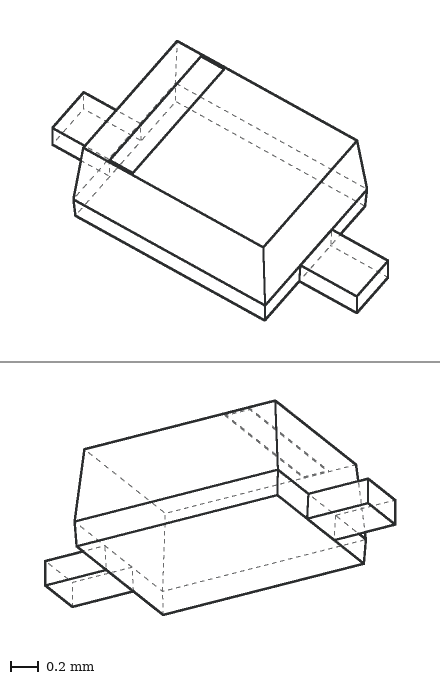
import cadquery as cq
import math

total_length = 2.7
total_height = 0.8
parting_height = 0.2
housing_length = 1.7
housing_width = 1.3
upper_draft_angle = 5.0
base_inset = 0.01
lead_width = 0.4
band_length = 0.205
band_width = 1.16
band_center_x = -0.472
band_depth = 0.01

upper_height = total_height - parting_height
top_inset = upper_height * math.tan(math.radians(upper_draft_angle))


def tapered_block(z_start, z_end, end_inset):
    """Block with the full housing outline at z_start, narrowed on every side at z_end."""
    return (
        cq.Workplane("XY", origin=(0, 0, z_start))
        .rect(housing_length, housing_width)
        .workplane(offset=z_end - z_start)
        .rect(housing_length - 2 * end_inset, housing_width - 2 * end_inset)
        .loft(ruled=True)
    )


def make_polarity_band():
    """Thin bar lying flush with the top of the housing."""
    return cq.Workplane("XY").box(
        band_length, band_width, band_depth, centered=(True, True, False)
    ).translate((band_center_x, 0, total_height - band_depth))


def make_upper_housing(band):
    """Drafted upper housing with a shallow recess for the polarity band."""
    return tapered_block(parting_height, total_height, top_inset).cut(band)


def make_lower_housing():
    """Shallow lower housing, narrowing towards the base."""
    return tapered_block(parting_height, 0, base_inset)


def make_lead(side):
    """Flat lead on the side -1 or +1 of X, its inner end resting on the sloped lower wall."""
    tip_x = side * total_length / 2
    wall_x = side * housing_length / 2
    base_x = wall_x - side * base_inset
    profile = [(tip_x, 0), (tip_x, parting_height), (wall_x, parting_height), (base_x, 0)]
    return (
        cq.Workplane("XZ")
        .polyline(profile)
        .close()
        .extrude(lead_width / 2, both=True)
    )


polarity_band = make_polarity_band()
upper_housing = make_upper_housing(polarity_band)
lower_housing = make_lower_housing()
leads = [make_lead(side) for side in (-1, 1)]

result = cq.Compound.makeCompound([
    upper_housing.val(),
    lower_housing.val(),
    polarity_band.val(),
    *[lead.val() for lead in leads],
])